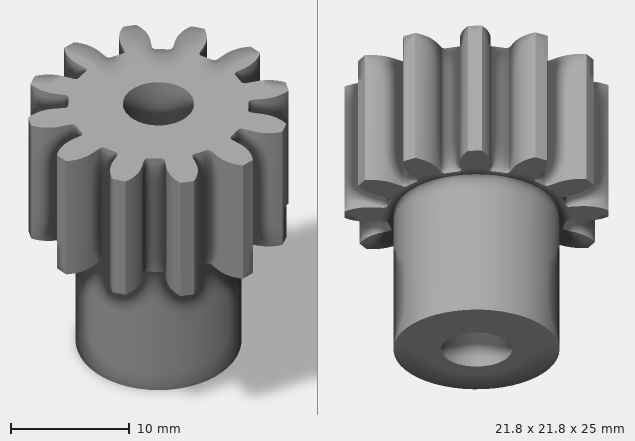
import cadquery as cq
import math

total_height = 25.0
gear_width = 12.0
hub_height = total_height - gear_width
hub_diameter = 14.0
bore_diameter = 6.0

tooth_count = 12
root_radius = 7.6
tip_radius = 11.12
root_fillet = 0.38

tip_half = 0.58
flank_radius, flank_half = 9.9, 1.18
belly_radius, belly_half = 8.75, 1.28
neck_half = 1.15
tooth_base = root_radius - 0.5

tooth_pitch = 360.0 / tooth_count
first_tooth_angle = tooth_pitch / 2


def make_tooth(angle):
    """One symmetric tooth with bulging flanks and a flat tip."""
    tip_x = math.sqrt(tip_radius**2 - tip_half**2)
    neck_x = math.sqrt(root_radius**2 - neck_half**2)
    return (
        cq.Workplane("XY", origin=(0, 0, hub_height))
        .moveTo(tooth_base, -neck_half)
        .lineTo(neck_x, -neck_half)
        .lineTo(belly_radius, -belly_half)
        .threePointArc((flank_radius, -flank_half), (tip_x, -tip_half))
        .lineTo(tip_x, tip_half)
        .threePointArc((flank_radius, flank_half), (belly_radius, belly_half))
        .lineTo(neck_x, neck_half)
        .lineTo(tooth_base, neck_half)
        .close()
        .extrude(gear_width)
        .rotate((0, 0, 0), (0, 0, 1), angle)
    )


def is_root_corner(edge):
    """True for an upright edge where a flank meets the root cylinder."""
    center = edge.Center()
    return abs(math.hypot(center.x, center.y) - root_radius) < 0.002


def make_gear():
    gear = cq.Workplane("XY", origin=(0, 0, hub_height)).circle(root_radius).extrude(gear_width)
    for index in range(tooth_count):
        gear = gear.union(make_tooth(first_tooth_angle + index * tooth_pitch))
    return gear.edges("|Z").filter(is_root_corner).fillet(root_fillet)


hub = cq.Workplane("XY").circle(hub_diameter / 2).extrude(hub_height)
bore = cq.Workplane("XY").circle(bore_diameter / 2).extrude(total_height)

result = make_gear().union(hub).cut(bore)